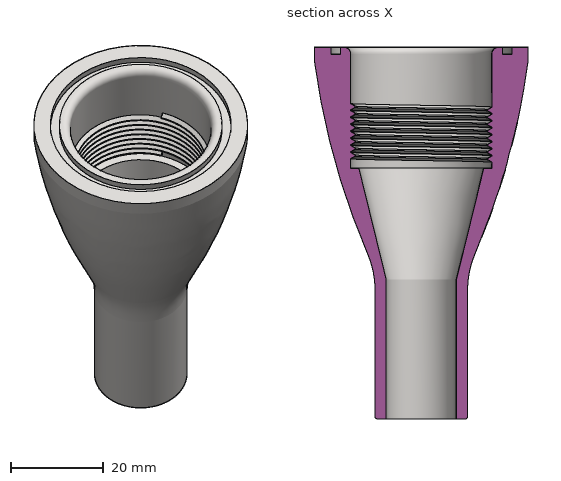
import cadquery as cq
import math

TOTAL_HEIGHT = 80.0
RIM_RADIUS = 23.0
RIM_HEIGHT = 3.3
STEM_RADIUS = 10.0
STEM_HEIGHT = 27.7
STEM_EDGE_FILLET = 0.5
NECK_TOP_HEIGHT = 35.6
NECK_BLEND_RADIUS = 20.0

GROOVE_OUTER_RADIUS = 19.45
GROOVE_INNER_RADIUS = 17.5
GROOVE_DEPTH = 1.5
LIP_FILLET = 1.5

SOCKET_RADIUS = 15.15
SOCKET_DEPTH = 26.0
CONE_TOP_RADIUS = 13.4
CONE_HEIGHT = 24.0
HOLE_RADIUS = 7.5

THREAD_PITCH = 1.5
THREAD_TURNS = 8
THREAD_START_DEPTH = 12.1
THREAD_MINOR_RADIUS = 14.2
THREAD_FLANK_ANGLE = 30.0
THREAD_ROOT_WIDTH = 1.45
THREAD_EMBED = 0.05
THREAD_END_ANGLE = 90.0


def make_body():
    """Revolved funnel: stem, concave neck blend, bulging bell and straight rim."""
    rim_bottom = TOTAL_HEIGHT - RIM_HEIGHT
    neck_angle = math.asin((NECK_TOP_HEIGHT - STEM_HEIGHT) / NECK_BLEND_RADIUS)
    neck_center_radius = STEM_RADIUS + NECK_BLEND_RADIUS
    neck_top_radius = neck_center_radius - NECK_BLEND_RADIUS * math.cos(neck_angle)
    neck_mid_radius = neck_center_radius - NECK_BLEND_RADIUS * math.cos(neck_angle / 2)
    neck_mid_height = STEM_HEIGHT + NECK_BLEND_RADIUS * math.sin(neck_angle / 2)
    return (
        cq.Workplane("YZ")
        .lineTo(STEM_RADIUS, 0)
        .lineTo(STEM_RADIUS, STEM_HEIGHT)
        .threePointArc((neck_mid_radius, neck_mid_height), (neck_top_radius, NECK_TOP_HEIGHT))
        .tangentArcPoint((RIM_RADIUS, rim_bottom), relative=False)
        .lineTo(RIM_RADIUS, TOTAL_HEIGHT)
        .lineTo(0, TOTAL_HEIGHT)
        .close()
        .revolve(360, (0, 0, 0), (0, 1, 0))
        .faces("<Z")
        .edges()
        .fillet(STEM_EDGE_FILLET)
    )


def make_bore():
    """Revolved void: rounded mouth, socket, ledge, cone and through hole."""
    ledge_height = TOTAL_HEIGHT - SOCKET_DEPTH
    mouth_radius = SOCKET_RADIUS + LIP_FILLET
    fillet_bottom = TOTAL_HEIGHT - LIP_FILLET
    diagonal = LIP_FILLET * math.cos(math.radians(45))
    return (
        cq.Workplane("YZ")
        .lineTo(HOLE_RADIUS, 0)
        .lineTo(HOLE_RADIUS, ledge_height - CONE_HEIGHT)
        .lineTo(CONE_TOP_RADIUS, ledge_height)
        .lineTo(SOCKET_RADIUS, ledge_height)
        .lineTo(SOCKET_RADIUS, fillet_bottom)
        .threePointArc(
            (mouth_radius - diagonal, fillet_bottom + diagonal),
            (mouth_radius, TOTAL_HEIGHT),
        )
        .lineTo(0, TOTAL_HEIGHT)
        .close()
        .revolve(360, (0, 0, 0), (0, 1, 0))
    )


def make_face_groove():
    """Ring-shaped groove in the top face."""
    return (
        cq.Workplane("XY", origin=(0, 0, TOTAL_HEIGHT - GROOVE_DEPTH))
        .circle(GROOVE_OUTER_RADIUS)
        .circle(GROOVE_INNER_RADIUS)
        .extrude(GROOVE_DEPTH)
    )


def make_thread():
    """Helical trapezoidal ridge whose root is sunk into the socket wall."""
    flank_slope = math.tan(math.radians(THREAD_FLANK_ANGLE))
    root_radius = SOCKET_RADIUS + THREAD_EMBED
    half_root = THREAD_ROOT_WIDTH / 2
    half_crest = half_root - (root_radius - THREAD_MINOR_RADIUS) * flank_slope
    helix_height = THREAD_TURNS * THREAD_PITCH
    helix_bottom = TOTAL_HEIGHT - THREAD_START_DEPTH - half_root - helix_height
    path = cq.Workplane(obj=cq.Wire.makeHelix(THREAD_PITCH, helix_height, root_radius))
    return (
        cq.Workplane("XZ")
        .moveTo(root_radius, -half_root)
        .lineTo(THREAD_MINOR_RADIUS, -half_crest)
        .lineTo(THREAD_MINOR_RADIUS, half_crest)
        .lineTo(root_radius, half_root)
        .close()
        .sweep(path, isFrenet=True)
        .rotate((0, 0, 0), (0, 0, 1), THREAD_END_ANGLE)
        .translate((0, 0, helix_bottom))
    )


result = make_body().cut(make_bore()).cut(make_face_groove()).union(make_thread())